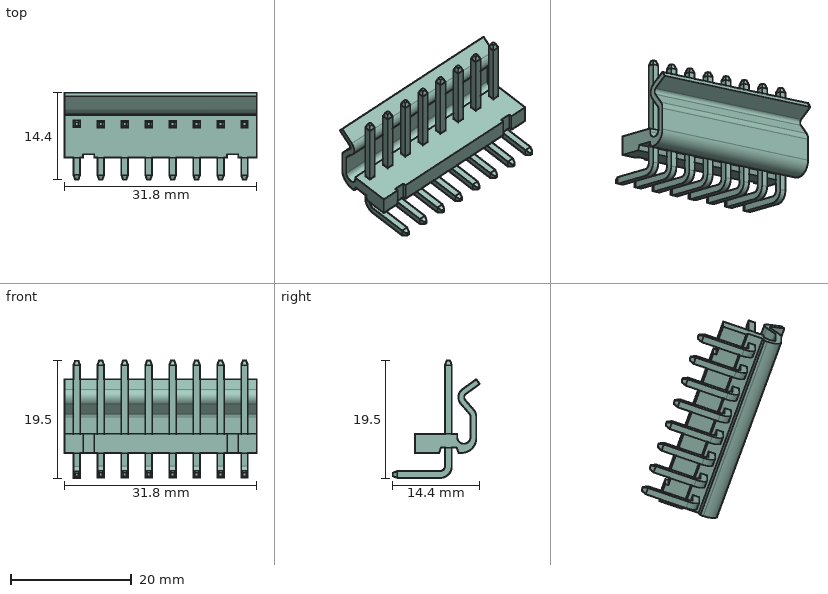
import cadquery as cq
import math


length = 31.8
base_height = 3.18
base_rear = 7.03
notch_inset = 3.08
notch_width = 1.8
notch_depth = 0.55

wall_rear = 10.17
wall_thickness = 1.0
slot_centre_z = 2.65
heel_radius = 2.48
bend_inner_radius = 0.67
bend_outer_radius = bend_inner_radius + wall_thickness
lower_bend_z = 6.05
upper_bend_y = 8.85
upper_bend_z = 9.22
lip_angle = 36.0
lip_length = 2.83

pin_count = 8
pin_row_span = 27.72
pin_pitch = pin_row_span / (pin_count - 1)
pin_size = 1.15
pin_y = 5.53
pin_top = 15.32
pin_bottom = -4.1
pin_front = -3.7
pin_bend_inner_radius = 0.83
pin_bend_outer_radius = pin_bend_inner_radius + pin_size
tip_length = 0.8
tip_flat = 0.55
first_pin_offset = 0.03

recess_y = 5.63
recess_depth = 0.9
recess_top_width = 2.57
recess_bottom_width = 3.2


def polar(centre, radius, degrees):
    """Point on a circle in the YZ plane, measured from +Y towards +Z."""
    angle = math.radians(degrees)
    return (centre[0] + radius * math.cos(angle), centre[1] + radius * math.sin(angle))


def housing_profile():
    """YZ outline of the base, the U-shaped slot and the bent locking wall."""
    wall_front = wall_rear - wall_thickness
    slot_radius = (wall_front - base_rear) / 2
    slot_centre = (base_rear + slot_radius, slot_centre_z)
    heel_centre = (wall_rear - heel_radius, heel_radius)
    lower = (wall_rear - bend_outer_radius, lower_bend_z)
    upper = (upper_bend_y, upper_bend_z)

    rise = upper[1] - lower[1]
    run = upper[0] - lower[0]
    radius_sum = bend_inner_radius + bend_outer_radius
    slope_normal = math.degrees(math.acos(radius_sum / math.hypot(run, rise)))
    lower_end = math.degrees(math.atan2(rise, run)) - slope_normal
    upper_start = lower_end - 180
    upper_end = 90 + lip_angle - 360

    def lip_end(radius):
        """Corner of the free end of the lip, on the face with this bend radius."""
        return polar(polar(upper, radius, upper_end), lip_length, lip_angle)

    return (
        cq.Workplane("YZ")
        .moveTo(0, 0)
        .lineTo(0, base_height)
        .lineTo(base_rear, base_height)
        .lineTo(base_rear, slot_centre[1])
        .threePointArc(polar(slot_centre, slot_radius, 270), (wall_front, slot_centre[1]))
        .lineTo(wall_front, lower[1])
        .threePointArc(
            polar(lower, bend_inner_radius, lower_end / 2),
            polar(lower, bend_inner_radius, lower_end),
        )
        .lineTo(*polar(upper, bend_outer_radius, upper_start))
        .threePointArc(
            polar(upper, bend_outer_radius, (upper_start + upper_end) / 2),
            polar(upper, bend_outer_radius, upper_end),
        )
        .lineTo(*lip_end(bend_outer_radius))
        .lineTo(*lip_end(bend_inner_radius))
        .lineTo(*polar(upper, bend_inner_radius, upper_end))
        .threePointArc(
            polar(upper, bend_inner_radius, (upper_start + upper_end) / 2),
            polar(upper, bend_inner_radius, upper_start),
        )
        .lineTo(*polar(lower, bend_outer_radius, lower_end))
        .threePointArc(
            polar(lower, bend_outer_radius, lower_end / 2),
            (wall_rear, lower[1]),
        )
        .lineTo(wall_rear, heel_centre[1])
        .threePointArc(polar(heel_centre, heel_radius, -45), (heel_centre[0], 0))
        .close()
    )


def make_recess():
    """Tapered channel along the underside, wider at the opening."""
    half_top = recess_top_width / 2
    half_bottom = recess_bottom_width / 2
    return (
        cq.Workplane("YZ")
        .polyline([
            (recess_y - half_bottom, 0),
            (recess_y - half_top, recess_depth),
            (recess_y + half_top, recess_depth),
            (recess_y + half_bottom, 0),
        ])
        .close()
        .extrude(length / 2, both=True)
    )


def make_notches():
    """Two full-height notches in the front face, one near each end."""
    notch_x = length / 2 - notch_inset - notch_width / 2
    return (
        cq.Workplane("XY")
        .pushPoints([(-notch_x, notch_depth / 2), (notch_x, notch_depth / 2)])
        .rect(notch_width, notch_depth)
        .extrude(base_height)
    )


def make_tip(base_plane):
    """Truncated pyramid that closes one end of a pin."""
    return (
        cq.Workplane(base_plane)
        .rect(pin_size, pin_size)
        .workplane(offset=tip_length)
        .rect(tip_flat, tip_flat)
        .loft(combine=True)
    )


def make_pin():
    """Square pin at X = 0: a vertical post bent forward into a horizontal leg."""
    rear = pin_y + pin_size / 2
    front = pin_y - pin_size / 2
    leg_top = pin_bottom + pin_size
    post_end = pin_top - tip_length
    leg_end = pin_front + tip_length
    bend_centre = (front - pin_bend_inner_radius, leg_top + pin_bend_inner_radius)
    shank = (
        cq.Workplane("YZ")
        .moveTo(rear, post_end)
        .lineTo(rear, bend_centre[1])
        .threePointArc(polar(bend_centre, pin_bend_outer_radius, -45), (bend_centre[0], pin_bottom))
        .lineTo(leg_end, pin_bottom)
        .lineTo(leg_end, leg_top)
        .lineTo(bend_centre[0], leg_top)
        .threePointArc(polar(bend_centre, pin_bend_inner_radius, -45), (front, bend_centre[1]))
        .lineTo(front, post_end)
        .close()
        .extrude(pin_size / 2, both=True)
    )
    post_plane = cq.Plane(origin=(0, pin_y, post_end), xDir=(1, 0, 0), normal=(0, 0, 1))
    leg_plane = cq.Plane(
        origin=(0, leg_end, pin_bottom + pin_size / 2), xDir=(1, 0, 0), normal=(0, -1, 0)
    )
    return shank.union(make_tip(post_plane)).union(make_tip(leg_plane))


def make_pins():
    """Row of identical pins, the first one shifted by its small offset."""
    pins = []
    for index in range(pin_count):
        x = index * pin_pitch - pin_row_span / 2
        offset = first_pin_offset if index == 0 else 0
        pins.append(make_pin().translate((x, offset, -offset)))
    return pins


def make_housing(pins):
    """Housing with its recess, notches and one fitting hole for each pin."""
    housing = housing_profile().extrude(length / 2, both=True)
    housing = housing.cut(make_recess()).cut(make_notches())
    for pin in pins:
        housing = housing.cut(pin)
    return housing


pins = make_pins()
housing = make_housing(pins)
result = cq.Compound.makeCompound([housing.val(), *[pin.val() for pin in pins]])